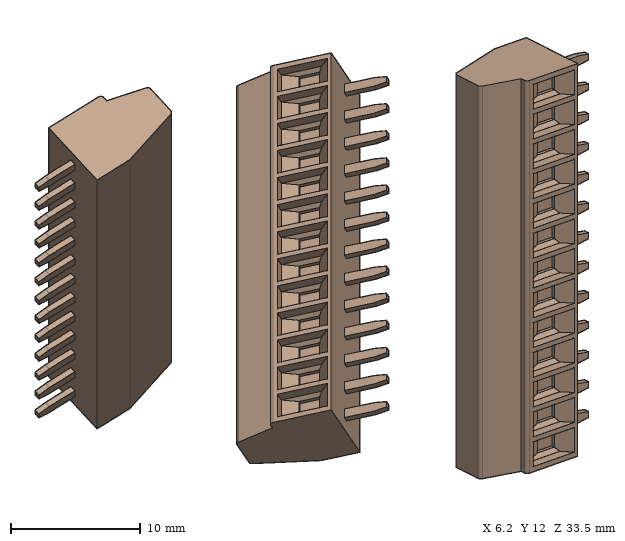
import cadquery as cq

length = 33.48
body_width = 6.2
body_depth = 8.5
half_width = body_width / 2
step_depth = 5.12
step_width = 0.67
ridge_left = 1.6
ridge_right = 4.62
right_wall_depth = 3.18
edge_radius = 0.3

pole_count = 13
end_margin = 1.5
pitch = (length - 2 * end_margin) / (pole_count - 1)

pocket_near = 0.3
pocket_far = 4.45
pocket_height = 2.1
straight_depth = 0.85
funnel_depth = 1.15
hole_near = 1.4
hole_far = 3.1
hole_height = 1.47
hole_offset = 0.05
hole_depth = 0.3

pin_length = 3.48
pin_thickness = 0.5
pin_height = 0.8
pin_tip_height = 0.5
pin_taper_length = 1.0


def make_housing():
    left = -half_width
    ridge_corners = [
        (left + ridge_right, body_depth),
        (left + ridge_left, body_depth),
    ]
    step_corner = (left, step_depth)
    outline = [
        (left, 0),
        (half_width, 0),
        (half_width, right_wall_depth),
        *ridge_corners,
        (left + step_width, step_depth),
        step_corner,
    ]
    housing = cq.Workplane("XY").polyline(outline).close().extrude(length / 2, both=True)
    for x, y in [*ridge_corners, step_corner]:
        corner_edge = housing.edges("|Z").edges(cq.selectors.NearestToPointSelector((x, y, 0)))
        housing = corner_edge.fillet(edge_radius)
    return housing


def entry_section(depth, near, far, height, offset=0):
    """Rectangle parallel to the -X face, lying at the given depth inside it."""
    plane = cq.Plane(origin=(depth - half_width, 0, 0), xDir=(0, 1, 0), normal=(1, 0, 0))
    return cq.Workplane(plane).center((near + far) / 2, offset).rect(far - near, height)


def make_pocket():
    slope = (hole_near - pocket_near) / funnel_depth
    throat_near = pocket_near + slope * straight_depth

    mouth_outline = [
        (-half_width, pocket_near),
        (straight_depth - half_width, throat_near),
        (straight_depth - half_width, pocket_far),
        (-half_width, pocket_far),
    ]
    mouth = cq.Workplane("XY").polyline(mouth_outline).close().extrude(pocket_height / 2, both=True)

    throat_centre = (throat_near + pocket_far) / 2
    hole_centre = (hole_near + hole_far) / 2
    funnel = (
        entry_section(straight_depth, throat_near, pocket_far, pocket_height)
        .workplane(offset=funnel_depth - straight_depth)
        .center(hole_centre - throat_centre, hole_offset)
        .rect(hole_far - hole_near, hole_height)
        .loft(ruled=True)
    )
    hole = entry_section(funnel_depth, hole_near, hole_far, hole_height, hole_offset).extrude(hole_depth)
    return mouth.union(funnel).union(hole)


def make_pin():
    taper_start = pin_taper_length - pin_length
    half_height = pin_height / 2
    half_tip = pin_tip_height / 2
    outline = [
        (0, half_height),
        (taper_start, half_height),
        (-pin_length, half_tip),
        (-pin_length, -half_tip),
        (taper_start, -half_height),
        (0, -half_height),
    ]
    return cq.Workplane("YZ").polyline(outline).close().extrude(pin_thickness / 2, both=True)


result = make_housing()
pocket = make_pocket()
pin = make_pin()
for pole in range(pole_count):
    z = end_margin - length / 2 + pole * pitch
    result = result.cut(pocket.translate((0, 0, z)))
    result = result.union(pin.translate((0, 0, z)))